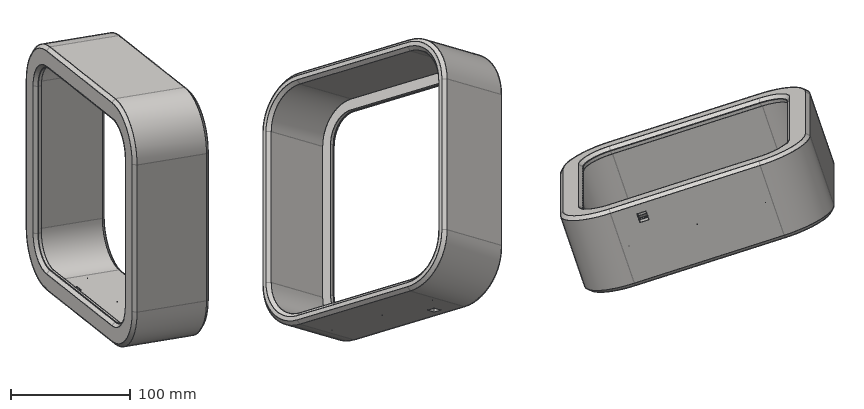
import cadquery as cq

side = 220.0
depth = 70.0
corner_radius = 44.0
chamfer = 3.0
wall = 10.0

lip_height = 10.1
lip_depth = 3.5
rebate_step = 0.7
rebate_end = 6.5

pin_hole_diameter = 0.2
pin_hole_pitch = 60.0
slot_size = 8.0
slot_center_x = -41.1
slot_back_y = -16.5

front_y = -depth / 2
cut_height = 2 * wall


def rounded_block(inset, start_y):
    """Rounded square block, inset from the outer outline, running from start_y to the back face."""
    width = side - 2 * inset
    return (
        cq.Workplane("XZ", origin=(0, start_y, 0))
        .rect(width, width)
        .extrude(start_y - depth / 2)
        .edges("|Y")
        .fillet(corner_radius - inset)
    )


def framed_ring():
    """Outer block opened up in three steps: the lip, the rebate and the main cavity."""
    lip_inset = wall + lip_height
    ring = rounded_block(0, front_y)
    ring = ring.cut(rounded_block(lip_inset, front_y))
    ring = ring.cut(rounded_block(lip_inset - rebate_step, front_y + lip_depth))
    ring = ring.cut(rounded_block(wall, front_y + rebate_end))
    return ring.faces("<Y or >Y").edges().chamfer(chamfer)


def bottom_plane(x, y):
    """Horizontal plane at the underside, centred on the given point."""
    return cq.Workplane("XY", origin=(x, y, -side / 2))


def pin_holes():
    """Row of fine holes along the middle of the bottom wall."""
    spots = [(i * pin_hole_pitch, 0) for i in (-1, 0, 1)]
    return bottom_plane(0, 0).pushPoints(spots).circle(pin_hole_diameter / 2).extrude(cut_height)


def cable_slot():
    """Square opening in the bottom wall, just behind the lip."""
    center_y = slot_back_y - slot_size / 2
    return bottom_plane(slot_center_x, center_y).rect(slot_size, slot_size).extrude(cut_height)


result = framed_ring().cut(pin_holes()).cut(cable_slot()).solids()